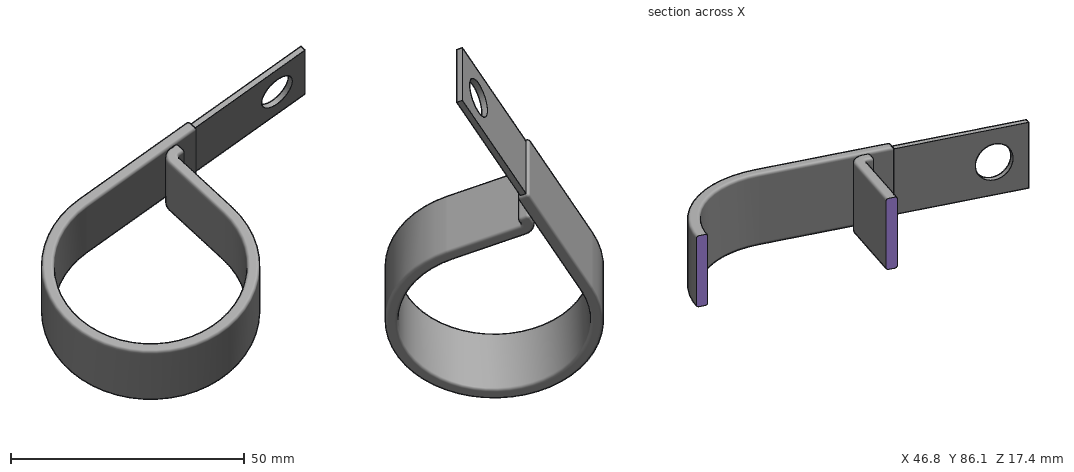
import cadquery as cq
import math

strap_width = 16.0
strap_thickness = 1.37
strap_end_y = 62.685
hole_diameter = 8.7
hole_end_distance = strap_width / 2

cushion_wall = 0.7
cushion_width = strap_width + 2 * cushion_wall
cushion_thickness = strap_thickness + 2 * cushion_wall
cushion_end_y = 31.34
edge_rounding = 0.7

clamped_diameter = 41.27
inner_radius = clamped_diameter / 2
outer_radius = inner_radius + cushion_thickness
centre_radius = outer_radius - cushion_thickness / 2

bend_inner_radius = 0.4
bend_outer_radius = bend_inner_radius + cushion_thickness
bend_x = bend_outer_radius - inner_radius
bend_y = outer_radius + bend_inner_radius
hook_end_y = 25.5


def round_band(profile, end_corners):
    """Extrude a band profile and round its long edges and its free end.

    The joint between the two bands, on the plane X = 0, stays sharp.
    """
    joint_tolerance = 0.01
    band = profile.extrude(cushion_width / 2, both=True)
    edges = band.faces("|Z").edges().filter(lambda edge: abs(edge.Center().x) > joint_tolerance)
    for corner in end_corners:
        edges = edges.add(band.edges(cq.NearestToPointSelector((*corner, 0))))
    return edges.fillet(edge_rounding)


def make_leg_and_loop():
    """Straight leg running into a three-quarter loop."""
    diagonal = math.sqrt(0.5)
    outer_end = (-outer_radius, cushion_end_y)
    inner_end = (-inner_radius, cushion_end_y)
    profile = (
        cq.Workplane("XY")
        .moveTo(*outer_end)
        .lineTo(-outer_radius, 0)
        .threePointArc((outer_radius * diagonal, -outer_radius * diagonal), (0, outer_radius))
        .lineTo(0, inner_radius)
        .threePointArc((inner_radius * diagonal, -inner_radius * diagonal), (-inner_radius, 0))
        .lineTo(*inner_end)
        .close()
    )
    return round_band(profile, (outer_end, inner_end))


def make_hook():
    """Flat run from the top of the loop, bent a quarter turn to lie along the leg."""
    near_end = (bend_x - bend_outer_radius, hook_end_y)
    far_end = (bend_x - bend_inner_radius, hook_end_y)
    profile = (
        cq.Workplane("XY")
        .moveTo(0, outer_radius)
        .lineTo(bend_x, outer_radius)
        .radiusArc((bend_x - bend_inner_radius, bend_y), bend_inner_radius)
        .lineTo(*far_end)
        .lineTo(*near_end)
        .lineTo(bend_x - bend_outer_radius, bend_y)
        .radiusArc((bend_x, inner_radius), -bend_outer_radius)
        .lineTo(0, inner_radius)
        .close()
    )
    return round_band(profile, (near_end, far_end))


def make_strap_tab():
    """Bare strap with its mounting hole, rooted along the straight leg."""
    tab = cq.Workplane("XY").box(strap_thickness, strap_end_y, strap_width)
    hole_y = strap_end_y / 2 - hole_end_distance
    tab = tab.faces(">X").workplane(origin=(0, hole_y, 0)).hole(hole_diameter)
    return tab.translate((-centre_radius, strap_end_y / 2, 0))


result = make_leg_and_loop().union(make_hook()).union(make_strap_tab())